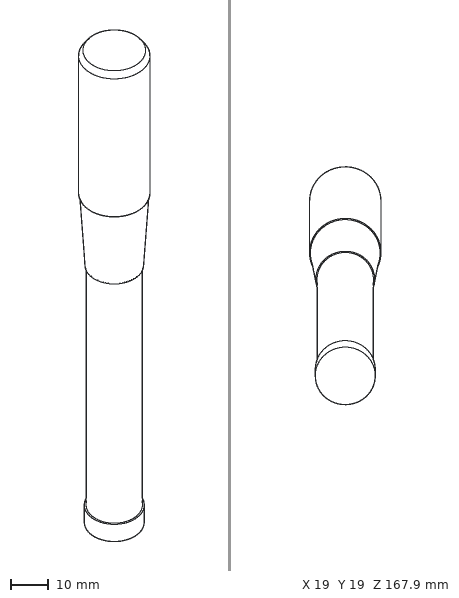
import cadquery as cq

total_length = 167.9
handle_diameter = 19.0
handle_length = 50.0
chamfer_width = 1.2
chamfer_height = 1.8
taper_length = 25.0
taper_top_diameter = 18.5
taper_bottom_diameter = 15.6
shoulder_height = 0.3
shaft_diameter = 15.0
head_diameter = 16.0
head_band_height = 6.0
point_height = 2.9

tip_z = -total_length / 2
band_bottom_z = tip_z + point_height
band_top_z = band_bottom_z + head_band_height
top_z = total_length / 2
handle_bottom_z = top_z - handle_length
taper_top_z = handle_bottom_z - shoulder_height
taper_bottom_z = handle_bottom_z - taper_length


def revolve_profile(points):
    """Turn a closed (radius, z) outline around the Z axis."""
    return cq.Workplane("XZ").polyline(points).close().revolve(360, (0, 0), (0, 1))


def make_shank():
    """Chamfered handle, short shoulder, taper and straight shaft in one piece."""
    handle_radius = handle_diameter / 2
    shaft_radius = shaft_diameter / 2
    return revolve_profile([
        (0, top_z),
        (handle_radius - chamfer_width, top_z),
        (handle_radius, top_z - chamfer_height),
        (handle_radius, handle_bottom_z),
        (taper_top_diameter / 2, taper_top_z),
        (taper_bottom_diameter / 2, taper_bottom_z),
        (shaft_radius, taper_bottom_z),
        (shaft_radius, band_top_z),
        (0, band_top_z),
    ])


def make_head():
    """Cylindrical band with a conical point, seated against the shaft end."""
    head_radius = head_diameter / 2
    return revolve_profile([
        (0, band_top_z),
        (head_radius, band_top_z),
        (head_radius, band_bottom_z),
        (0, tip_z),
    ])


shank = make_shank()
head = make_head()
result = cq.Compound.makeCompound([shank.val(), head.val()])